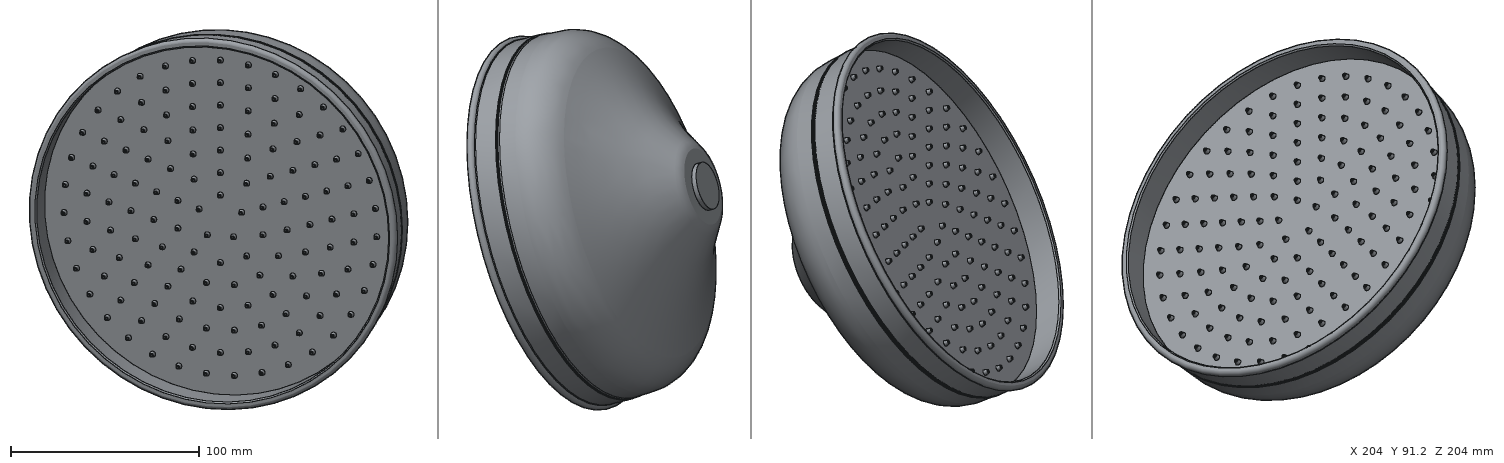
import cadquery as cq
import math


outer_radius = 102.0
total_height = 91.2

skirt_radius = 100.0
bore_radius = 97.5
bead_root_radius = 100.2
bead_height = 4.5
bead_root_slope = 0.6
bore_edge_chamfer = 0.8
plate_face_y = 15.5
cup_top_y = 17.1

ring_count = 7
outer_ring_radius = 86.7
ring_spacing = outer_ring_radius / ring_count
nozzles_per_ring_step = 5
nozzle_base_radius = 1.6
nozzle_tip_radius = 1.0
nozzle_height = 2.2
jet_hole_radius = 0.5

seam_gap_height = 0.8
seam_gap_depth = 0.6
lip_height = 0.6
lip_slope_height = 0.8
wall_bottom_radius = 99.5
shoulder_bottom_radius = 99.1
shoulder_bottom_y = 29.0
shoulder_top_radius = 84.7
shoulder_top_y = 50.4
flare_sag = 3.0
neck_radius = 26.1
neck_y = 85.9
crown_flat_radius = 20.8
crown_y = 88.5

connector_radius = 12.9


def revolve_about_y(profile):
    return profile.close().revolve(360, (0, 0), (0, 1))


def make_face_cup():
    """Skirt with a rounded rim bead, closed by the spray plate and its drilled nozzles."""
    cup = revolve_about_y(
        cq.Workplane("XY")
        .moveTo(0, plate_face_y)
        .lineTo(bore_radius, plate_face_y)
        .lineTo(bore_radius, bore_edge_chamfer)
        .lineTo(bore_radius + bore_edge_chamfer, 0)
        .lineTo(bead_root_radius, 0)
        .threePointArc((outer_radius, bead_height / 2), (bead_root_radius, bead_height))
        .lineTo(skirt_radius, bead_height + bead_root_slope)
        .lineTo(skirt_radius, cup_top_y)
        .lineTo(0, cup_top_y)
    )
    return cup.union(make_nozzles()).cut(make_jet_holes())


def nozzle_positions():
    """(x, z) of every nozzle, each ring starting at the top (+Z)."""
    positions = []
    for ring in range(1, ring_count + 1):
        nozzle_count = nozzles_per_ring_step * ring
        for index in range(nozzle_count):
            angle = 2 * math.pi * index / nozzle_count
            radius = ring * ring_spacing
            positions.append((radius * math.sin(angle), radius * math.cos(angle)))
    return positions


def make_nozzles():
    """Tapered pips standing on the spray plate, toward -Y."""
    taper = math.degrees(math.atan2(nozzle_base_radius - nozzle_tip_radius, nozzle_height))
    return (
        cq.Workplane("XZ", origin=(0, plate_face_y, 0))
        .pushPoints(nozzle_positions())
        .circle(nozzle_base_radius)
        .extrude(nozzle_height, taper=taper)
    )


def make_jet_holes():
    """Bores running from the nozzle tips through the spray plate."""
    return (
        cq.Workplane("XZ", origin=(0, cup_top_y, 0))
        .pushPoints(nozzle_positions())
        .circle(jet_hole_radius)
        .extrude(cup_top_y - plate_face_y + nozzle_height)
    )


def make_dome():
    """Bell seated on the face cup, with a narrow seam groove above the skirt."""
    gap_top_y = cup_top_y + seam_gap_height
    lip_top_y = gap_top_y + lip_height
    seat_radius = skirt_radius - seam_gap_depth
    flare_mid_radius = (neck_radius + shoulder_top_radius) / 2
    flare_mid_y = (neck_y + shoulder_top_y) / 2 - flare_sag
    return revolve_about_y(
        cq.Workplane("XY")
        .moveTo(0, cup_top_y)
        .lineTo(seat_radius, cup_top_y)
        .lineTo(seat_radius, gap_top_y)
        .lineTo(skirt_radius, gap_top_y)
        .lineTo(skirt_radius, lip_top_y)
        .lineTo(wall_bottom_radius, lip_top_y + lip_slope_height)
        .lineTo(shoulder_bottom_radius, shoulder_bottom_y)
        .tangentArcPoint((shoulder_top_radius, shoulder_top_y), relative=False)
        .threePointArc((flare_mid_radius, flare_mid_y), (neck_radius, neck_y))
        .tangentArcPoint((crown_flat_radius, crown_y), relative=False)
        .lineTo(0, crown_y)
    )


def make_connector():
    """Plain round inlet boss on the flat crown of the dome."""
    return (
        cq.Workplane("XZ", origin=(0, crown_y, 0))
        .circle(connector_radius)
        .extrude(crown_y - total_height)
    )


face_cup = make_face_cup()
dome = make_dome()
connector = make_connector()

result = cq.Compound.makeCompound([face_cup.val(), dome.val(), connector.val()])